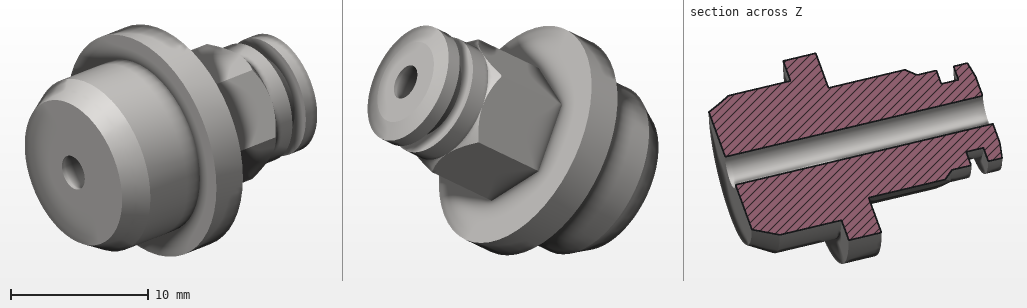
import cadquery as cq
import math

tip_end = 1.82
plug_end = 6.5
flange_end = 9.02
hex_end = 15.55
collar_end = 17.01
neck_end = 18.29
rim_end = 19.36
length = 19.6

tip_diameter = 11.13
plug_diameter = 13.21
flange_diameter = 17.0
collar_diameter = 9.02
neck_diameter = 6.47
crown_diameter = 6.27
bore_diameter = 2.6

hex_across_flats = collar_diameter
hex_across_corners = hex_across_flats / math.cos(math.radians(30))
hex_chamfer_length = 0.73
hex_end_diameter = 9.02


def revolve_profile(points):
    """Turn a closed (radius, station) outline about the Y axis."""
    outline = cq.Workplane("XY").polyline(points).close()
    return outline.revolve(360, (0, 0, 0), (0, 1, 0))


def make_plug():
    """Tapered plug and its flange."""
    return revolve_profile([
        (0, 0),
        (tip_diameter / 2, 0),
        (plug_diameter / 2, tip_end),
        (plug_diameter / 2, plug_end),
        (flange_diameter / 2, plug_end),
        (flange_diameter / 2, flange_end),
        (0, flange_end),
    ])


def make_hexagon():
    """Hexagon whose rear corners are trimmed by a cone."""
    prism = (
        cq.Workplane("XZ", origin=(0, flange_end, 0))
        .polygon(6, hex_across_corners)
        .extrude(flange_end - hex_end)
    )
    envelope = revolve_profile([
        (0, flange_end),
        (hex_across_corners / 2, flange_end),
        (hex_across_corners / 2, hex_end - hex_chamfer_length),
        (hex_end_diameter / 2, hex_end),
        (0, hex_end),
    ])
    return prism.intersect(envelope)


def make_release_head():
    """Collar, narrow neck and crowned rim behind the hexagon."""
    return revolve_profile([
        (0, hex_end),
        (collar_diameter / 2, hex_end),
        (collar_diameter / 2, collar_end),
        (neck_diameter / 2, collar_end),
        (neck_diameter / 2, neck_end),
        (collar_diameter / 2, neck_end),
        (collar_diameter / 2, rim_end),
        (crown_diameter / 2, length),
        (0, length),
    ])


def make_bore():
    """Straight passage through the whole part."""
    bore = cq.Workplane("XZ").circle(bore_diameter / 2)
    return bore.extrude(-length)


body = make_plug().union(make_hexagon()).union(make_release_head())
result = body.cut(make_bore()).translate((0, -length / 2, 0))